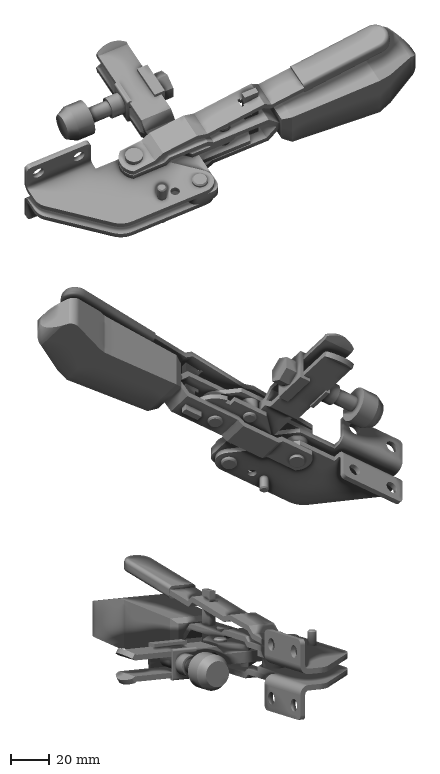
import cadquery as cq
import math


sheet = 3.0
plate_top = 2 * sheet
strap_top = 3 * sheet

arm_pivot = (25.0, 26.0)
link_pivot = (0, 52.7)
arm_link_pivot = (-10.5, 38.0)

base_left = -7.8
base_bottom = -56.5
base_tip_radius = 7.4
base_right = arm_pivot[0] + base_tip_radius
base_corner_x = -0.7
base_bottom_fillet = 9.4
base_right_fillet = 13.5
flange_left = -16.0
flange_top = -18.5
flange_height = 21.5
flange_corner = 2.7
bend_outer_radius = 5.0
bend_inner_radius = bend_outer_radius - sheet
mount_hole_diameter = 6.7
mount_hole_height = 14.3
mount_holes_y = (-25.7, -49.6)
lock_hole_diameter = 5.0
lock_hole_y = 11.2
stop_pin_y = 3.4
stop_pin_radius = 2.5
stop_pin_reach = 13.9
pivot_bush_radius = 6.0
pivot_rivet_radius = 4.7
pivot_rivet_lower_radius = 4.0
pivot_rivet_top = 15.2
pivot_rivet_bottom = -10.5
arm_rivet_radius = 4.2
arm_rivet_reach = 7.5
rivet_chamfer = 0.7

link_left = -15.9
link_right = 7.2
link_end_radius = 7.2
link_lower_corner_y = 31.0
link_toe = (-4.2, 19.5)
hook_radius = 14.3
hook_tip_y = 54.8
hook_notch_bottom = 51.6
hook_notch_x = -12.0
link_rivet_radius = 4.0
link_rivet_reach = 10.3
arm_link_rivet_radius = 3.5
arm_link_rivet_neck = 2.5
arm_link_rivet_reach = 7.4

arm_half_width = 8.7
arm_gap = 4.2
arm_tip_x = -78.2
arm_tip_height = 7.0
arm_tip_bulge = 3.1
arm_bend_x = -73.8
arm_spread_x = -25.5
arm_merge_x = -20.8
arm_end_fillet = 5.0
arm_ear_radius = 5.0

spindle_x = -44.7
shank_radius = arm_gap
spindle_head_top = 43.4
spindle_head_flats = 13.2
collar_radius = 5.8
collar_bottom = 8.3
foot_radius = 9.5
foot_tip_radius = 7.0
foot_top = -4.5
foot_cone_top = -13.9
foot_bottom = -19.0
washer_thickness = 2.0
rear_washer_width = 19.7
rear_washer_lap = 4.0
front_washer_width = 14.3
front_washer_thickness = 1.5
front_washer_lip = 1.1

strap_width = 15.0
strip_end_y = -7.8
strip_end_shoulder_y = -4.2
strap_step = 2.5
strap_vee_y = 74.6
strap_jogs_y = (15.2, 18.0, 39.0, 42.5)
grip_start = 82.2
grip_neck_y = 87.0
grip_shoulder_y = 138.0
grip_nose_y = 161.4
grip_end = 167.0
grip_start_height = 8.0
grip_neck_height = 10.3
grip_shoulder_height = 13.2
grip_nose_height = 8.5
grip_tip_arc = (165.5, 5.5)
grip_right_start = 10.0
grip_right_neck = 13.0
grip_right_shoulder = 14.8
grip_right_slope = (12.7, 145.3)
grip_nose_right = 5.0
grip_nose_arc = (2.0, 165.8)
grip_nose_end = (-2.5, grip_end)
grip_heel_top = (-17.9, 159.8)
grip_heel_arc = (-19.7, 157.3)
grip_heel_bottom = (-19.7, 154.5)
grip_waist_top = (-14.0, 134.0)
grip_waist_bottom = (-13.9, 129.5)
grip_left_neck = -13.0
grip_left_start = -10.7

latch_width = 3.4
latch_y = (64.8, 72.9)
latch_top = 27.3
latch_bottom = -12.3
latch_notch_top = 3.5
latch_foot_y = 62.8

lever_width = 15.5
lever_bends = [
    (-8.5, 9.0),
    (9.4, 11.2),
    (14.3, 14.8),
    (33.0, 17.2),
    (39.3, 15.5),
    (72.6, 20.5),
    (76.9, 17.7),
]
lever_slope = 0.15
lever_slot_end = 62.5
lever_cross_slot_width = 5.4
lever_cross_slot_length = 1.3
lever_grip_start = 97.0
lever_grip_end = 150.5
strip_in_sleeve = 2.2
lever_grip_thickness = 7.0
lever_grip_width = 15.9
lever_grip_fillet = 2.0

arm_low = arm_pivot[1] - arm_half_width
arm_high = arm_pivot[1] + arm_half_width
arm_outer = arm_gap + sheet
reach = 447
DIAGONAL = math.sqrt(0.5)
MID_ARC = math.radians(67.5)


def cylinder_z(center, radius, z_low, z_high):
    return cq.Workplane("XY", origin=(*center, z_low)).circle(radius).extrude(z_high - z_low)


def rivet(center, radius, half_length):
    """Pin centred on Z = 0 with both ends chamfered."""
    return cylinder_z(center, radius, -half_length, half_length).faces(">Z or <Z").chamfer(rivet_chamfer)


def cylinder_y(radius, y_low, y_high):
    """Cylinder on the spindle axis."""
    plane = cq.Workplane("XZ", origin=(spindle_x, y_high, 0))
    return plane.circle(radius).extrude(y_high - y_low)


def block(x_range, y_range, z_range):
    low = (x_range[0], y_range[0], z_range[0])
    size = (x_range[1] - x_range[0], y_range[1] - y_range[0], z_range[1] - z_range[0])
    return cq.Workplane("XY").box(*size, centered=False).translate(low)


def band(path, thickness):
    """Closed outline of a bent strip: the path and a mitred copy on its left."""
    normals = []
    for (x0, y0), (x1, y1) in zip(path, path[1:]):
        length = math.hypot(x1 - x0, y1 - y0)
        normals.append(((y0 - y1) / length, (x1 - x0) / length))
    corner_normals = zip([normals[0]] + normals, normals + [normals[-1]])
    offset = []
    for (x, y), (before, after) in zip(path, corner_normals):
        stretch = thickness / (1 + before[0] * after[0] + before[1] * after[1])
        offset.append((x + stretch * (before[0] + after[0]), y + stretch * (before[1] + after[1])))
    return path + offset[::-1]


def extrude_yz(outline, width):
    """Extrude a (Y, Z) outline symmetrically about X = 0."""
    return cq.Workplane("YZ").polyline(outline).close().extrude(width / 2, both=True)


def strip_plan(width):
    """Straight strip along +Y with a rounded end around the Z axis, rising from Z = 0."""
    half = width / 2
    return (
        cq.Workplane("XY")
        .moveTo(-half, reach)
        .lineTo(-half, strip_end_shoulder_y)
        .threePointArc((0, strip_end_y), (half, strip_end_shoulder_y))
        .lineTo(half, reach)
        .close()
        .extrude(reach)
    )


def fillet_near(body, selector, point, radius):
    """Fillet the edge nearest to a point among the edges the selector picks."""
    return body.edges(selector).edges(cq.selectors.NearestToPointSelector(point)).fillet(radius)


def with_mirror_z(body):
    return body.union(body.mirror("XY"))


def make_base_plate():
    diagonal_rise = base_bottom - base_corner_x
    tip_x, tip_y = arm_pivot
    tangent = (tip_x - base_tip_radius * DIAGONAL, tip_y + base_tip_radius * DIAGONAL)
    plate = (
        cq.Workplane("XY", origin=(0, 0, sheet))
        .moveTo(flange_left, base_bottom)
        .lineTo(base_corner_x, base_bottom)
        .lineTo(base_right, base_right + diagonal_rise)
        .lineTo(base_right, tip_y)
        .threePointArc(
            (
                tip_x + base_tip_radius * math.cos(MID_ARC),
                tip_y + base_tip_radius * math.sin(MID_ARC),
            ),
            tangent,
        )
        .lineTo(base_left, tangent[1] - (tangent[0] - base_left))
        .lineTo(base_left, flange_top)
        .lineTo(flange_left, flange_top)
        .close()
        .extrude(sheet)
    )
    plate = fillet_near(plate, "|Z", (base_corner_x, base_bottom, sheet), base_bottom_fillet)
    right_corner = (base_right, base_right + diagonal_rise, sheet)
    plate = fillet_near(plate, "|Z", right_corner, base_right_fillet)

    flange_y = (base_bottom, flange_top)
    flange_right = flange_left + sheet
    flange = block((flange_left, flange_right), flange_y, (sheet, flange_height))
    flange = flange.edges("|X and >Z").fillet(flange_corner)
    plate = plate.union(flange)
    flange_middle_y = (base_bottom + flange_top) / 2
    plate = fillet_near(plate, "|Y", (flange_right, flange_middle_y, plate_top), bend_inner_radius)
    plate = fillet_near(plate, "|Y", (flange_left, flange_middle_y, sheet), bend_outer_radius)

    hole_centers = [(y, mount_hole_height) for y in mount_holes_y]
    holes = cq.Workplane("YZ", origin=(flange_left, 0, 0)).pushPoints(hole_centers)
    plate = plate.cut(holes.circle(mount_hole_diameter / 2).extrude(sheet))
    lock_hole = cylinder_z((arm_pivot[0], lock_hole_y), lock_hole_diameter / 2, 0, plate_top)
    return plate.cut(lock_hole)


def make_pivot_rivet():
    upper = cylinder_z((0, 0), pivot_rivet_radius, 0, pivot_rivet_top)
    return upper.union(cylinder_z((0, 0), pivot_rivet_lower_radius, pivot_rivet_bottom, 0))


def make_base():
    base = with_mirror_z(make_base_plate())
    base = base.union(cylinder_z((0, 0), pivot_bush_radius, -sheet, sheet))
    base = base.union(make_pivot_rivet())
    base = base.union(rivet(arm_pivot, arm_rivet_radius, arm_rivet_reach))
    return base.union(rivet((arm_pivot[0], stop_pin_y), stop_pin_radius, stop_pin_reach))


def make_upper_link():
    pivot_x, pivot_y = link_pivot
    tangent_x = pivot_x - link_end_radius * DIAGONAL
    tangent_y = pivot_y + link_end_radius * DIAGONAL
    return (
        cq.Workplane("XY", origin=(0, 0, sheet))
        .moveTo(*link_toe)
        .lineTo(link_right, link_toe[1] + link_right - link_toe[0])
        .lineTo(link_right, pivot_y)
        .threePointArc(
            (
                pivot_x + link_end_radius * math.cos(MID_ARC),
                pivot_y + link_end_radius * math.sin(MID_ARC),
            ),
            (tangent_x, tangent_y),
        )
        .lineTo(link_left, tangent_y - (tangent_x - link_left))
        .lineTo(link_left, link_lower_corner_y)
        .close()
        .extrude(sheet)
    )


def make_hooked_link():
    pivot_x, pivot_y = link_pivot
    hook_tip_x = pivot_x - math.sqrt(hook_radius**2 - (hook_tip_y - pivot_y) ** 2)
    hook_right_y = pivot_y + math.sqrt(hook_radius**2 - (link_right - pivot_x) ** 2)
    return (
        cq.Workplane("XY", origin=(0, 0, -plate_top))
        .moveTo(*link_toe)
        .lineTo(link_right, link_toe[1] + link_right - link_toe[0])
        .lineTo(link_right, hook_right_y)
        .threePointArc((pivot_x, pivot_y + hook_radius), (hook_tip_x, hook_tip_y))
        .lineTo(hook_notch_x, hook_tip_y)
        .lineTo(hook_notch_x, hook_notch_bottom)
        .lineTo(link_left, hook_notch_bottom)
        .lineTo(link_left, link_lower_corner_y)
        .close()
        .extrude(sheet)
    )


def make_linkage():
    linkage = make_upper_link().union(make_hooked_link())
    linkage = linkage.union(rivet(link_pivot, link_rivet_radius, link_rivet_reach))
    linkage = linkage.union(
        cylinder_z(arm_link_pivot, arm_link_rivet_neck, -plate_top, plate_top)
    )
    head = cylinder_z(arm_link_pivot, arm_link_rivet_radius, plate_top, arm_link_rivet_reach)
    head = head.faces(">Z").chamfer(rivet_chamfer)
    return linkage.union(with_mirror_z(head))


def make_arm_tip_envelope():
    """Long prism with one rounded end, tilted so that it cuts square to the flared tip."""
    flare_angle = math.atan2(arm_tip_height - arm_gap, arm_bend_x - arm_tip_x)
    prism = (
        cq.Workplane("XY")
        .moveTo(arm_tip_bulge, -arm_half_width)
        .lineTo(reach, -arm_half_width)
        .lineTo(reach, arm_half_width)
        .lineTo(arm_tip_bulge, arm_half_width)
        .threePointArc((0, 0), (arm_tip_bulge, -arm_half_width))
        .close()
        .extrude(reach, both=True)
    )
    prism = prism.rotate((0, 0, 0), (0, 1, 0), math.degrees(flare_angle))
    return prism.translate((arm_tip_x, arm_pivot[1], arm_tip_height))


def make_arm():
    inner_path = [
        (arm_tip_x, arm_tip_height),
        (arm_bend_x, arm_gap),
        (arm_spread_x, arm_gap),
        (arm_merge_x, 0),
        (base_right, 0),
    ]
    plane = cq.Workplane("XZ", origin=(0, arm_high, 0))
    arm = plane.polyline(band(inner_path, sheet)).close().extrude(arm_high - arm_low)
    arm = arm.edges("|Z and >X").fillet(arm_end_fillet)
    arm = with_mirror_z(arm.intersect(make_arm_tip_envelope()))
    arm = arm.union(cylinder_z(arm_link_pivot, arm_ear_radius, -sheet, sheet))
    arm = arm.cut(cylinder_z(arm_link_pivot, arm_link_rivet_neck, -sheet, sheet))
    return arm.cut(cylinder_z(arm_pivot, arm_rivet_radius, -sheet, sheet))


def make_spindle():
    head_corners = spindle_head_flats / math.cos(math.pi / 6)
    head_bottom = arm_high + washer_thickness
    head = (
        cq.Workplane("XZ", origin=(spindle_x, spindle_head_top, 0))
        .polygon(6, head_corners)
        .extrude(spindle_head_top - head_bottom)
        .rotate((spindle_x, 0, 0), (spindle_x, 1, 0), 30)
    )
    spindle = head.union(cylinder_y(shank_radius, foot_top, head_bottom))
    spindle = spindle.union(
        cylinder_y(collar_radius, collar_bottom, arm_low - front_washer_thickness)
    )
    foot = (
        cq.Workplane("XY", origin=(spindle_x, 0, 0))
        .moveTo(0, foot_bottom)
        .lineTo(foot_tip_radius, foot_bottom)
        .lineTo(foot_radius, foot_cone_top)
        .lineTo(foot_radius, foot_top)
        .lineTo(0, foot_top)
        .close()
        .revolve(360, (0, 0, 0), (0, 1, 0))
    )
    return spindle.union(foot)


def make_washer(width, y_range, arm_y_range, lip_thickness):
    """Plate with two lips folded over the arm straps, bored for the spindle shank."""
    half_height = arm_outer + lip_thickness
    x_range = (spindle_x - width / 2, spindle_x + width / 2)
    washer = block(x_range, y_range, (-half_height, half_height))
    washer = washer.cut(block(x_range, arm_y_range, (-arm_outer, arm_outer)))
    return washer.cut(cylinder_y(shank_radius, *y_range))


def make_rear_washer():
    y_range = (arm_high - rear_washer_lap, arm_high + washer_thickness)
    arm_y_range = (y_range[0], arm_high)
    return make_washer(rear_washer_width, y_range, arm_y_range, washer_thickness)


def make_front_washer():
    y_range = (arm_low - front_washer_thickness, arm_low + front_washer_lip)
    arm_y_range = (arm_low, y_range[1])
    washer = make_washer(front_washer_width, y_range, arm_y_range, front_washer_lip)
    return washer.edges("|X and <Y").fillet(front_washer_lip)


def make_grip():
    plan = (
        cq.Workplane("XY")
        .moveTo(grip_left_start, grip_start)
        .lineTo(grip_right_start, grip_start)
        .lineTo(grip_right_neck, grip_neck_y)
        .lineTo(grip_right_shoulder, grip_shoulder_y)
        .lineTo(*grip_right_slope)
        .lineTo(grip_nose_right, grip_nose_y)
        .threePointArc(grip_nose_arc, grip_nose_end)
        .lineTo(*grip_heel_top)
        .threePointArc(grip_heel_arc, grip_heel_bottom)
        .lineTo(*grip_waist_top)
        .lineTo(*grip_waist_bottom)
        .lineTo(grip_left_neck, grip_neck_y)
        .close()
        .extrude(reach, both=True)
    )
    side = (
        cq.Workplane("YZ")
        .moveTo(grip_start, 0)
        .lineTo(grip_start, grip_start_height)
        .lineTo(grip_neck_y, grip_neck_height)
        .lineTo(grip_shoulder_y, grip_shoulder_height)
        .lineTo(grip_nose_y, grip_nose_height)
        .threePointArc(grip_tip_arc, (grip_end, 0))
        .close()
        .extrude(reach, both=True)
    )
    return plan.intersect(with_mirror_z(side))


def make_handle():
    vee_y = strap_vee_y + plate_top
    inner_path = [
        (strip_end_y, plate_top),
        (strap_jogs_y[0], plate_top),
        (strap_jogs_y[1], plate_top + strap_step),
        (strap_jogs_y[2], plate_top + strap_step),
        (strap_jogs_y[3], plate_top),
        (strap_vee_y, plate_top),
        (vee_y, 0),
        (vee_y + sheet, -sheet),
    ]
    straps = extrude_yz(band(inner_path, sheet), strap_width)
    straps = straps.intersect(strip_plan(strap_width))
    handle = with_mirror_z(straps).union(make_grip())
    handle = handle.cut(make_pivot_rivet())
    handle = handle.cut(cylinder_z(link_pivot, link_rivet_radius, -strap_top, strap_top))
    half_latch = latch_width / 2
    return handle.cut(block((-half_latch, half_latch), latch_y, (-strap_top, strap_top)))


def make_latch():
    near, far = latch_y
    notch_y = link_pivot[1] + hook_radius
    outline = [
        (far, latch_bottom),
        (far, latch_top),
        (near, latch_top),
        (near, latch_notch_top),
        (notch_y, latch_notch_top),
        (notch_y, -plate_top),
        (near, -plate_top),
        (near, -strap_top),
        (latch_foot_y, -strap_top),
        (latch_foot_y, latch_bottom),
    ]
    return extrude_yz(outline, latch_width)


def lever_underside(y):
    """Height of the underside of the straight far end of the lever strip."""
    bend_y, bend_z = lever_bends[-1]
    return bend_z + lever_slope * (y - bend_y)


def make_lever():
    sleeve_inside = lever_grip_start + strip_in_sleeve
    lever_path = lever_bends + [(sleeve_inside, lever_underside(sleeve_inside))]
    lever = extrude_yz(band(lever_path, sheet), lever_width)
    lever = lever.intersect(strip_plan(lever_width))

    angle = math.atan(lever_slope)
    length = (lever_grip_end - lever_grip_start) / math.cos(angle)
    half_grip = lever_grip_width / 2
    grip = (
        cq.Workplane("XY", origin=(0, 0, -lever_grip_thickness / 2))
        .moveTo(-half_grip, 0)
        .lineTo(half_grip, 0)
        .lineTo(half_grip, length - half_grip)
        .threePointArc((0, length), (-half_grip, length - half_grip))
        .close()
        .extrude(lever_grip_thickness)
    )
    grip = grip.faces(">Z or <Z").edges("not <Y").fillet(lever_grip_fillet)
    middle = lever_underside(lever_grip_start) + sheet / 2
    grip = grip.rotate((0, 0, 0), (1, 0, 0), math.degrees(angle))
    lever = lever.union(grip.translate((0, lever_grip_start, middle)))

    half_latch = latch_width / 2
    lever = lever.cut(block((-half_latch, half_latch), (lever_slot_end, latch_y[1]), (0, latch_top)))
    half_cross = lever_cross_slot_width / 2
    cross_slot_y = (lever_slot_end, lever_slot_end + lever_cross_slot_length)
    lever = lever.cut(block((-half_cross, half_cross), cross_slot_y, (0, latch_top)))
    return lever.cut(make_pivot_rivet())


base = make_base()
linkage = make_linkage()
arm = make_arm()
spindle = make_spindle()
rear_washer = make_rear_washer()
front_washer = make_front_washer()
handle = make_handle()
latch = make_latch()
lever = make_lever()

bodies = [base, linkage, arm, spindle, rear_washer, front_washer, handle, latch, lever]
result = cq.Compound.makeCompound([body.val() for body in bodies])